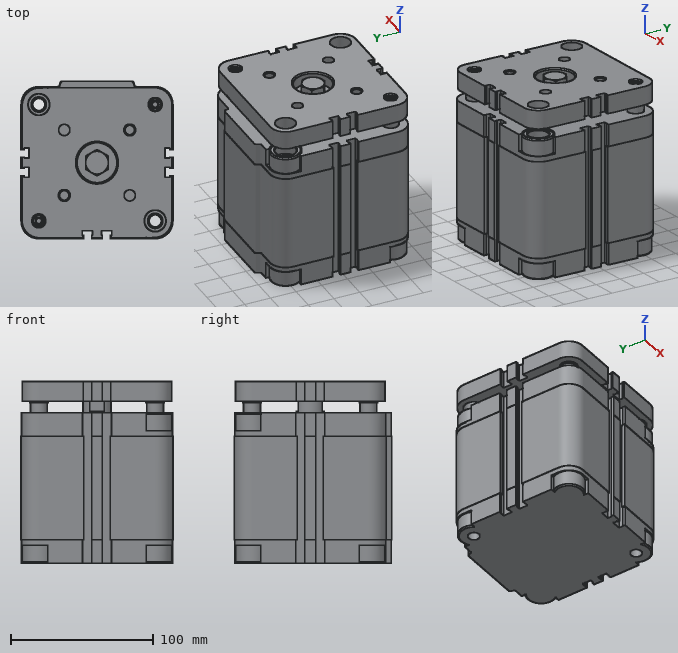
import cadquery as cq
import math


TOTAL_HEIGHT = 128.0
PLATE_THICKNESS = 14.0
HOUSING_HEIGHT = 106.0
CAP_HEIGHT = 16.5
PLATE_BOTTOM = TOTAL_HEIGHT - PLATE_THICKNESS
TUBE_HEIGHT = HOUSING_HEIGHT - 2 * CAP_HEIGHT

TUBE_WIDTH = 107.0
CAP_WIDTH = 106.5
PLATE_WIDTH = 105.5
CORNER_AXIS = 41.0
PIN_CORNERS = [(-CORNER_AXIS, -CORNER_AXIS), (CORNER_AXIS, CORNER_AXIS)]
BOLT_CORNERS = [(-CORNER_AXIS, CORNER_AXIS), (CORNER_AXIS, -CORNER_AXIS)]

DEPTH_WITH_RIDGE = 111.0
RIDGE_HEIGHT = DEPTH_WITH_RIDGE - TUBE_WIDTH
RIDGE_BASE_HALF = 26.9
RIDGE_TOP_HALF = 25.5
RIDGE_ROUND = 1.3
SELECTION_MARGIN = 0.1

SLOT_CENTRE = 6.8
SLOT_WIDTH = 6.9
SLOT_FLOOR = 48.0
SLOT_LIP_START = 51.1
SLOT_MOUTH_START = 3.8
TUBE_SLOT_MOUTH = 5.4
CAP_SLOT_MOUTH = 6.3
PLATE_SLOT_MOUTH = 5.9

NOTCH_START = 34.7
NOTCH_HEIGHT = 12.5
BOSS_DIAMETER = 23.0
BOSS_CHAMFER = 1.0
BOLT_HOLE_DIAMETER = 8.6
BOLT_POCKET_DIAMETER = 15.4
BOLT_POCKET_RIM_DIAMETER = 16.5
BOLT_POCKET_DEPTH = 7.7
BOLT_COUNTERSINK_DIAMETER = 10.8

ROD_DIAMETER = 20.0
ROD_FLATS_WIDTH = 17.0
ROD_FLATS_START = 106.9
HEX_SIDES = 6
HEX_ACROSS_FLATS = 16.0
HEX_TOP = 127.7
HEX_CHAMFER_ANGLE = 30.0
ROD_POCKET_DIAMETER = 28.0
ROD_POCKET_DEPTH = 9.2
ROD_POCKET_CHAMFER = 1.0

PIN_DIAMETER = 12.0
COLLAR_DIAMETER = 13.0
COLLAR_HEIGHT = 1.2
SCREW_HOLE_DIAMETER = 8.0
SCREW_HOLE_RIM_DIAMETER = 9.9
SCREW_HOLE_DEPTH = 1.8
SOCKET_DIAMETER = 4.0
SOCKET_RIM_DIAMETER = 5.4
SOCKET_DEPTH = 1.3

BOLT_ACCESS_DIAMETER = 15.0
MOUNT_OFFSET = 23.0
DOWEL_HOLE_DIAMETER = 8.0
THREAD_HOLE_DIAMETER = 6.7
THREAD_RIM_DIAMETER = 8.3


def rounded_square(width, bottom, height):
    """Square block whose corners are rounded about the corner axes."""
    block = cq.Workplane("XY").workplane(offset=bottom).rect(width, width).extrude(height)
    return block.edges("|Z").fillet(width / 2 - CORNER_AXIS)


def hole_tool(points, diameter, top, depth, rim_diameter=None):
    """Round cutters going down from the height top, with a 45 degree bevel out to rim_diameter."""
    radius = diameter / 2
    rim_radius = (rim_diameter or diameter) / 2
    outline = [(0, top), (rim_radius, top), (radius, top - (rim_radius - radius))]
    outline += [(radius, top - depth), (0, top - depth)]
    if rim_radius == radius:
        del outline[2]
    cutter = cq.Workplane("XZ").polyline(outline).close().revolve()
    return cq.Workplane("XY").pushPoints(points).eachpoint(cutter.val(), combine="a")


def side_slots(width, mouth, bottom, height):
    """Six T-slots, two on each of the -Y, +X and -X sides."""
    undercut_depth = SLOT_LIP_START - SLOT_FLOOR
    mouth_depth = width / 2 - SLOT_FLOOR
    mouth_centre = SLOT_MOUTH_START + mouth / 2
    profile = cq.Workplane("XY").workplane(offset=bottom)
    undercut = profile.center(SLOT_CENTRE, -SLOT_FLOOR - undercut_depth / 2)
    undercut = undercut.rect(SLOT_WIDTH, undercut_depth).extrude(height)
    opening = profile.center(mouth_centre, -SLOT_FLOOR - mouth_depth / 2)
    opening = opening.rect(mouth, mouth_depth).extrude(height)
    slot = undercut.union(opening)
    pair = slot.union(slot.mirror("YZ"))
    slots = pair
    for angle in (90, -90):
        slots = slots.union(pair.rotate((0, 0, 0), (0, 0, 1), angle))
    return slots


def housing_section(width, mouth, bottom, height):
    """One length of the housing profile: rounded square, +Y ridge and slots."""
    face = width / 2
    inset = (TUBE_WIDTH - width) / 2
    ridge = (
        cq.Workplane("XY")
        .workplane(offset=bottom)
        .polyline(
            [
                (-RIDGE_BASE_HALF + inset, 0),
                (-RIDGE_BASE_HALF + inset, face),
                (-RIDGE_TOP_HALF + inset, face + RIDGE_HEIGHT),
                (RIDGE_TOP_HALF - inset, face + RIDGE_HEIGHT),
                (RIDGE_BASE_HALF - inset, face),
                (RIDGE_BASE_HALF - inset, 0),
            ]
        )
        .close()
        .extrude(height)
    )
    section = rounded_square(width, bottom, height).union(ridge)
    ridge_box = cq.selectors.BoxSelector(
        (-RIDGE_BASE_HALF - SELECTION_MARGIN, face - SELECTION_MARGIN, bottom),
        (RIDGE_BASE_HALF + SELECTION_MARGIN, face + RIDGE_HEIGHT + SELECTION_MARGIN, bottom + height),
    )
    section = section.edges(ridge_box).edges("|Z").fillet(RIDGE_ROUND)
    return section.cut(side_slots(width, mouth, bottom, height))


def corner_notch(corner, bottom, chamfered_edge):
    """Material cut from a cap corner to leave a round screw boss."""
    x, y = corner
    reach = TUBE_WIDTH / 2 - NOTCH_START
    middle = NOTCH_START + reach / 2
    block = (
        cq.Workplane("XY")
        .workplane(offset=bottom)
        .center(math.copysign(middle, x), math.copysign(middle, y))
        .rect(reach, reach)
        .extrude(NOTCH_HEIGHT)
    )
    boss = cq.Workplane("XY").workplane(offset=bottom).center(x, y)
    boss = boss.circle(BOSS_DIAMETER / 2).extrude(NOTCH_HEIGHT)
    return block.cut(boss.edges(chamfered_edge).chamfer(BOSS_CHAMFER))


def make_housing():
    """Tube between two slightly smaller caps, with screw bosses and mounting holes."""
    lower_cap = housing_section(CAP_WIDTH, CAP_SLOT_MOUTH, 0, CAP_HEIGHT)
    tube = housing_section(TUBE_WIDTH, TUBE_SLOT_MOUTH, CAP_HEIGHT, TUBE_HEIGHT)
    upper_cap = housing_section(CAP_WIDTH, CAP_SLOT_MOUTH, CAP_HEIGHT + TUBE_HEIGHT, CAP_HEIGHT)
    housing = lower_cap.union(tube).union(upper_cap)
    for corner in PIN_CORNERS + BOLT_CORNERS:
        housing = housing.cut(corner_notch(corner, 0, "<Z"))
    for corner in BOLT_CORNERS:
        housing = housing.cut(corner_notch(corner, HOUSING_HEIGHT - NOTCH_HEIGHT, ">Z"))
    return cut_bolt_holes(housing)


def chamfer_ring(corner):
    """Bevelled groove that carries the chamfer of a top boss all the way round its circle."""
    outer = BOSS_DIAMETER / 2
    inner = outer - BOSS_CHAMFER
    profile = cq.Workplane("XZ").polyline(
        [(inner, HOUSING_HEIGHT), (outer, HOUSING_HEIGHT), (outer, HOUSING_HEIGHT - BOSS_CHAMFER)]
    )
    return profile.close().revolve().translate((*corner, 0))


def cut_bolt_holes(housing):
    """Stepped mounting holes through two opposite corners of the housing."""
    for corner in BOLT_CORNERS:
        housing = housing.cut(chamfer_ring(corner))
    pocket_floor = HOUSING_HEIGHT - BOLT_POCKET_DEPTH
    pocket = hole_tool(
        BOLT_CORNERS, BOLT_POCKET_DIAMETER, HOUSING_HEIGHT, BOLT_POCKET_DEPTH, BOLT_POCKET_RIM_DIAMETER
    )
    hole = hole_tool(BOLT_CORNERS, BOLT_HOLE_DIAMETER, pocket_floor, pocket_floor, BOLT_COUNTERSINK_DIAMETER)
    return housing.cut(pocket).cut(hole)


def make_plate():
    """Tool plate with its slots, holes and central pocket."""
    plate = rounded_square(PLATE_WIDTH, PLATE_BOTTOM, PLATE_THICKNESS)
    plate = plate.cut(side_slots(PLATE_WIDTH, PLATE_SLOT_MOUTH, PLATE_BOTTOM, PLATE_THICKNESS))
    dowel_points = [(-MOUNT_OFFSET, MOUNT_OFFSET), (MOUNT_OFFSET, -MOUNT_OFFSET)]
    thread_points = [(-MOUNT_OFFSET, -MOUNT_OFFSET), (MOUNT_OFFSET, MOUNT_OFFSET)]
    pocket_rim_diameter = ROD_POCKET_DIAMETER + 2 * ROD_POCKET_CHAMFER
    holes = [
        hole_tool(BOLT_CORNERS, BOLT_ACCESS_DIAMETER, TOTAL_HEIGHT, PLATE_THICKNESS),
        hole_tool(dowel_points, DOWEL_HOLE_DIAMETER, TOTAL_HEIGHT, PLATE_THICKNESS),
        hole_tool(thread_points, THREAD_HOLE_DIAMETER, TOTAL_HEIGHT, PLATE_THICKNESS, THREAD_RIM_DIAMETER),
        hole_tool([(0, 0)], ROD_POCKET_DIAMETER, TOTAL_HEIGHT, ROD_POCKET_DEPTH, pocket_rim_diameter),
    ]
    for hole in holes:
        plate = plate.cut(hole)
    return plate


def make_rod():
    """Exposed piston rod with two spanner flats, ending in a chamfered hexagon."""
    pocket_floor = TOTAL_HEIGHT - ROD_POCKET_DEPTH
    rod = cq.Workplane("XY").workplane(offset=HOUSING_HEIGHT).circle(ROD_DIAMETER / 2)
    rod = rod.extrude(pocket_floor - HOUSING_HEIGHT)
    flats_height = PLATE_BOTTOM - ROD_FLATS_START
    flats = (
        cq.Workplane("XY")
        .workplane(offset=ROD_FLATS_START)
        .rect(ROD_DIAMETER, ROD_DIAMETER)
        .rect(ROD_DIAMETER, ROD_FLATS_WIDTH)
        .extrude(flats_height)
    )
    hex_corner_diameter = HEX_ACROSS_FLATS / math.cos(math.pi / HEX_SIDES)
    hex_height = HEX_TOP - pocket_floor
    hex_end = cq.Workplane("XY").workplane(offset=pocket_floor).polygon(HEX_SIDES, hex_corner_diameter)
    hex_end = hex_end.extrude(hex_height).rotate((0, 0, 0), (0, 0, 1), 90)
    chamfer_width = (hex_corner_diameter - HEX_ACROSS_FLATS) / 2
    chamfer_height = chamfer_width * math.tan(math.radians(HEX_CHAMFER_ANGLE))
    envelope = (
        cq.Workplane("XY")
        .workplane(offset=pocket_floor)
        .circle(hex_corner_diameter / 2)
        .extrude(hex_height)
        .faces(">Z")
        .chamfer(chamfer_height, chamfer_width)
    )
    return rod.cut(flats).union(hex_end.intersect(envelope))


def make_guide_pins():
    """Exposed lengths of the two guide pins with their collars under the plate."""
    pins = cq.Workplane("XY").workplane(offset=HOUSING_HEIGHT).pushPoints(PIN_CORNERS)
    pins = pins.circle(PIN_DIAMETER / 2).extrude(PLATE_BOTTOM - HOUSING_HEIGHT)
    collars = cq.Workplane("XY").workplane(offset=PLATE_BOTTOM - COLLAR_HEIGHT).pushPoints(PIN_CORNERS)
    return pins.union(collars.circle(COLLAR_DIAMETER / 2).extrude(COLLAR_HEIGHT))


def cut_pin_screws(plate):
    """Sunk heads of the pin screws, each with a countersunk socket."""
    head_top = TOTAL_HEIGHT - SCREW_HOLE_DEPTH
    recess = hole_tool(
        PIN_CORNERS, SCREW_HOLE_DIAMETER, TOTAL_HEIGHT, SCREW_HOLE_DEPTH, SCREW_HOLE_RIM_DIAMETER
    )
    socket = hole_tool(PIN_CORNERS, SOCKET_DIAMETER, head_top, SOCKET_DEPTH, SOCKET_RIM_DIAMETER)
    return plate.cut(recess).cut(socket)


housing = make_housing()
moving_plate = cut_pin_screws(make_plate()).union(make_rod()).union(make_guide_pins())

result = cq.Compound.makeCompound([housing.val(), moving_plate.val()])